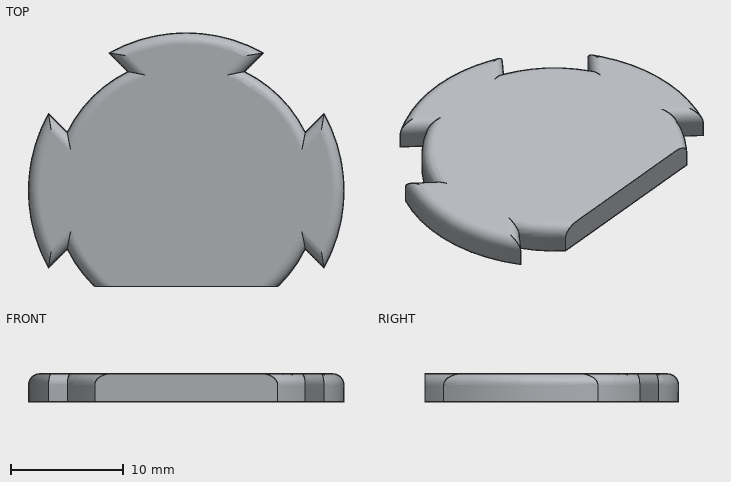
import cadquery as cq
import math

outer_radius = 14.0
body_radius = 11.75
thickness = 2.5
edge_radius = 1.0
flat_distance = 8.5
apex_distance = 5.38
tab_slope = 45.0

half_sector_angle = 45.0
tab_directions = (0, 90, 180)
plain_direction = 270


def circle_point(radius, angle):
    return (radius * math.cos(math.radians(angle)), radius * math.sin(math.radians(angle)))


def turn(solid, direction):
    return solid.rotate((0, 0, 0), (0, 0, 1), direction)


def round_top(sector):
    """Round the top outline of a sector, leaving alone the edges that run to the disc centre."""
    centre_point = cq.Vertex.makeVertex(0, 0, thickness)
    outline = sector.faces(">Z").edges().filter(
        lambda edge: edge.distance(centre_point) > apex_distance
    )
    return outline.fillet(edge_radius)


def tab_side_angle_at(radius):
    """Angle from the tab centreline, seen from the disc centre, where a tab side meets the given radius."""
    side_offset = apex_distance * math.sin(math.radians(tab_slope))
    return tab_slope - math.degrees(math.asin(side_offset / radius))


def half_tab_sector():
    """Sector from 0 to 45 degrees: half a tab, then the disc edge up to the middle of the gap."""
    rim_angle = tab_side_angle_at(outer_radius)
    root_angle = tab_side_angle_at(body_radius)
    return (
        cq.Workplane("XY")
        .lineTo(outer_radius, 0)
        .threePointArc(circle_point(outer_radius, rim_angle / 2), circle_point(outer_radius, rim_angle))
        .lineTo(*circle_point(body_radius, root_angle))
        .threePointArc(
            circle_point(body_radius, (root_angle + half_sector_angle) / 2),
            circle_point(body_radius, half_sector_angle),
        )
        .close()
        .extrude(thickness)
    )


def tab_sector(direction):
    half = round_top(half_tab_sector())
    return turn(half.union(half.mirror("XZ")), direction)


def plain_sector(direction):
    """Quarter of the disc with a rounded rim."""
    sector = (
        cq.Workplane("XY")
        .lineTo(*circle_point(body_radius, -half_sector_angle))
        .threePointArc((body_radius, 0), circle_point(body_radius, half_sector_angle))
        .close()
        .extrude(thickness)
    )
    return turn(round_top(sector), direction)


body = plain_sector(plain_direction)
for tab_direction in tab_directions:
    body = body.union(tab_sector(tab_direction))

removed_region = (
    cq.Workplane("XY")
    .center(0, -flat_distance - outer_radius / 2)
    .rect(2 * outer_radius, outer_radius)
    .extrude(thickness)
)
result = body.cut(removed_region)